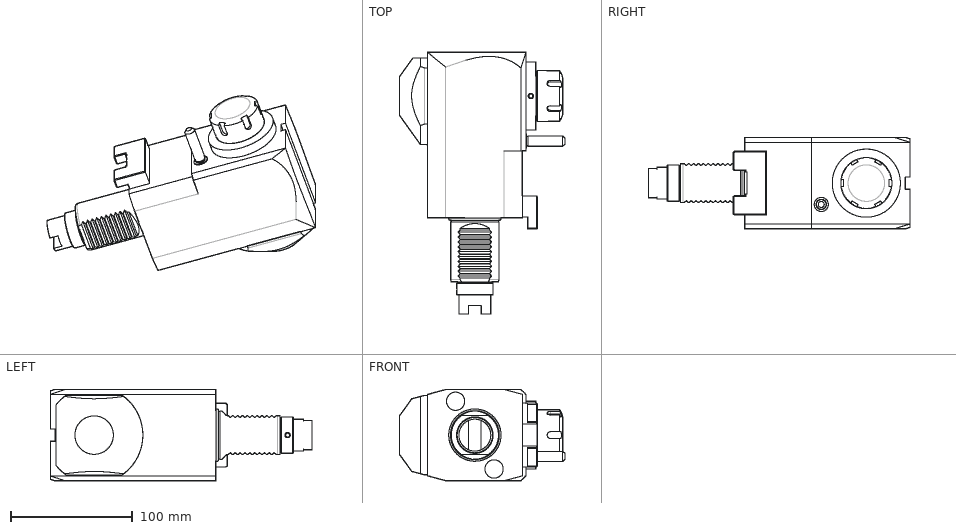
import cadquery as cq
import math


housing_length = 136.0
housing_height = 75.0
half_height = housing_height / 2
housing_left = -39.0
housing_right = 42.0
relief_right = 39.0
relief_length = 55.0
side_bevel_width = 15.0
side_bevel_angle = 15.0
side_bevel_drop = side_bevel_width * math.tan(math.radians(side_bevel_angle))
bevel_edge_z = half_height - side_bevel_drop
spindle_bevel_width = 4.2
back_slot_width = 10.0
back_slot_depth = 4.0

back_bevel_left_length = 12.2
back_bevel_right_length = 13.0
back_bevel_inner_points = [(0.0, 4.7), (12.7, 3.4), (29.5, 7.3)]
back_bevel_slope = side_bevel_drop / back_bevel_left_length

plug_radius = 7.5
plug_offset_x = 15.8
plug_offset_z = 27.8
plug_recess = 0.3

spindle_y = 100.0

cap_tip_x = -62.0
cap_tip_radius = 15.8
cap_radius = 40.0
cap_rim_x = -44.7
cap_back_y = spindle_y + 31.3
cap_bevel_x = -41.3
cap_half_height = 32.7

flange_radius = 28.0
flange_end_x = 50.0
spindle_neck_radius = 16.3
nut_start_x = 51.0
nut_end_x = 72.2
nut_radius = 21.0
nut_face_radius = 15.0
nut_round_start_x = 69.5
nut_round_mid_x = 71.0
nut_round_mid_radius = 18.6
nut_back_chamfer = 0.6
nut_slot_count = 6
nut_slot_width = 5.6
nut_slot_start_x = 59.4
nut_slot_floor_radius = 18.6

screw_hole_radius = 1.6
screw_mouth_radius = 2.6
screw_mouth_depth = 1.0
screw_hole_depth = 4.0
screw_mouth_extra = 0.6

pin_y = 63.0
pin_z = -17.5
pin_radius = 4.25
pin_end_x = 74.14
pin_tip_length = 2.1
pin_tip_inset = 1.8
pin_collar_radius = 5.8
pin_collar_length = 0.6
pin_neck_radius = 3.9
pin_neck_end_x = 43.8

key_right = 51.3
key_back_y = 18.0
key_plate_front_y = 0.6
key_bar_front_y = 1.9
key_half_height = 26.2
key_leg_x = 43.4
key_leg_front_y = -9.3
key_leg_inner_z = 10.2
key_bar_half_height = 9.0
key_leg_chamfer = 0.9
key_chamfer = 0.7

shank_radius = 20.0
shank_ring_radius = 21.5
shank_ring_length = 2.0
shank_ring_round = 1.0
shank_groove_radius = 19.5
shank_groove_end = 3.5
shank_length = 52.6
shank_end_chamfer_length = 1.9
shank_end_chamfer = 0.6
coupling_gap_length = 0.8
coupling_gap_radius = 14.0
coupling_radius = 15.0
coupling_end = 63.5
coupling_chamfer = 0.5
drive_radius = 13.1
drive_end = 79.0
drive_slot_width = 10.4
drive_slot_depth = 7.0
coupling_screw_y = -58.8

tooth_crest_z = 16.0
tooth_depth = 1.5
tooth_half_width = 1.7
tooth_pitch = 4.0
tooth_count = 10
first_valley_y = -11.8
ramp_start_y = -4.7


def x_cylinder(x_start, x_end, radius, y, z):
    """Cylinder along X."""
    plane = cq.Workplane("YZ", origin=(x_start, y, z))
    return plane.circle(radius).extrude(x_end - x_start)


def box_between(x_min, x_max, y_min, y_max, z_min, z_max):
    """Box given by its limits."""
    size = (x_max - x_min, y_max - y_min, z_max - z_min)
    return cq.Workplane("XY").box(*size, centered=False).translate((x_min, y_min, z_min))


def set_screw_hole(surface_point, inward):
    """Drilled hole with a conical mouth, starting just outside a round surface."""
    start = cq.Vector(*surface_point) - cq.Vector(*inward) * screw_mouth_extra
    depth = screw_mouth_extra + screw_hole_depth
    cone_length = screw_mouth_extra + screw_mouth_depth
    drill = cq.Solid.makeCylinder(screw_hole_radius, depth, start, cq.Vector(*inward))
    mouth = cq.Solid.makeCone(screw_mouth_radius, screw_hole_radius, cone_length, start, cq.Vector(*inward))
    return cq.Workplane(drill).union(cq.Workplane(mouth))


def housing_section(right, right_bevel_width):
    """XZ outline of the housing with bevelled long edges."""
    upper = [
        (housing_left, bevel_edge_z),
        (housing_left + side_bevel_width, half_height),
        (right - right_bevel_width, half_height),
        (right, bevel_edge_z),
    ]
    lower = [(x, -z) for x, z in reversed(upper)]
    return upper + lower


def back_bevel_cutter():
    """Solid that removes the curved bevel between the top and the back face."""
    back = housing_length
    top_left = cq.Vector(housing_left + side_bevel_width, back - back_bevel_left_length, half_height)
    top_right = cq.Vector(
        housing_right - spindle_bevel_width, back - back_bevel_right_length, half_height
    )
    back_left = cq.Vector(housing_left, back, bevel_edge_z)
    back_right = cq.Vector(housing_right, back, bevel_edge_z)
    corner_left = cq.Vector(housing_left, back, half_height)
    corner_right = cq.Vector(housing_right, back, half_height)

    top_inner = [cq.Vector(x, back - length, half_height) for x, length in back_bevel_inner_points]
    back_inner = [
        cq.Vector(x, back, half_height - back_bevel_slope * length)
        for x, length in back_bevel_inner_points
    ]

    line = cq.Edge.makeLine
    top_curve = cq.Edge.makeSpline([top_left, *top_inner, top_right])
    back_curve = cq.Edge.makeSpline([back_left, *back_inner, back_right])
    corner_line = line(corner_left, corner_right)

    def flat_face(*edges):
        return cq.Face.makeFromWires(cq.Wire.assembleEdges(edges))

    faces = [
        cq.Face.makeRuledSurface(top_curve, back_curve),
        flat_face(top_curve, line(top_right, corner_right), corner_line, line(corner_left, top_left)),
        flat_face(back_curve, line(back_right, corner_right), corner_line, line(corner_left, back_left)),
        cq.Face.makeFromWires(cq.Wire.makePolygon([top_left, back_left, corner_left], close=True)),
        cq.Face.makeFromWires(cq.Wire.makePolygon([top_right, back_right, corner_right], close=True)),
    ]
    return cq.Workplane(cq.Solid.makeSolid(cq.Shell.makeShell(faces)))


def make_housing():
    front_part = (
        cq.Workplane("XZ")
        .polyline(housing_section(relief_right, side_bevel_width))
        .close()
        .extrude(-relief_length)
    )
    rear_part = (
        cq.Workplane("XZ", origin=(0, relief_length, 0))
        .polyline(housing_section(housing_right, spindle_bevel_width))
        .close()
        .extrude(relief_length - housing_length)
    )
    body = front_part.union(rear_part)

    top_bevel = back_bevel_cutter()
    body = body.cut(top_bevel).cut(top_bevel.mirror("XY"))

    back_slot = box_between(
        housing_left, housing_right,
        housing_length - back_slot_depth, housing_length,
        -back_slot_width / 2, back_slot_width / 2,
    )
    body = body.cut(back_slot)

    plug_recesses = (
        cq.Workplane("XZ")
        .pushPoints([(-plug_offset_x, plug_offset_z), (plug_offset_x, -plug_offset_z)])
        .circle(plug_radius)
        .extrude(-plug_recess)
    )
    return body.cut(plug_recesses)


def make_cap():
    """Conical cap, cut flat at the back and trimmed by sloping top and bottom flats."""
    cone = (
        cq.Workplane("XY", origin=(0, spindle_y, 0))
        .polyline([
            (cap_tip_x, 0),
            (cap_tip_x, cap_tip_radius),
            (cap_rim_x, cap_radius),
            (housing_left, cap_radius),
            (housing_left, 0),
        ])
        .close()
        .revolve(360, (0, 0, 0), (1, 0, 0))
    )
    slope_drop = (cap_bevel_x - cap_tip_x) * math.tan(math.radians(side_bevel_angle))
    tip_half_height = cap_half_height - slope_drop
    upper = [
        (cap_tip_x, tip_half_height),
        (cap_bevel_x, cap_half_height),
        (housing_left, cap_half_height),
    ]
    lower = [(x, -z) for x, z in reversed(upper)]
    envelope = (
        cq.Workplane("XZ", origin=(0, cap_back_y, 0))
        .polyline(upper + lower)
        .close()
        .extrude(cap_back_y - spindle_y + cap_radius)
    )
    return cone.intersect(envelope)


def make_nut():
    body = (
        cq.Workplane("XY", origin=(0, spindle_y, 0))
        .moveTo(nut_start_x, 0)
        .lineTo(nut_start_x, nut_radius - nut_back_chamfer)
        .lineTo(nut_start_x + nut_back_chamfer, nut_radius)
        .lineTo(nut_round_start_x, nut_radius)
        .threePointArc((nut_round_mid_x, nut_round_mid_radius), (nut_end_x, nut_face_radius))
        .lineTo(nut_end_x, 0)
        .close()
        .revolve(360, (0, 0, 0), (1, 0, 0))
    )
    half_width = nut_slot_width / 2
    slot_center_x = nut_slot_start_x + half_width
    slot = (
        cq.Workplane("XZ", origin=(0, spindle_y - nut_slot_floor_radius, 0))
        .moveTo(nut_end_x, half_width)
        .lineTo(slot_center_x, half_width)
        .threePointArc((nut_slot_start_x, 0), (slot_center_x, -half_width))
        .lineTo(nut_end_x, -half_width)
        .close()
        .extrude(nut_radius)
    )
    axis_start = (0, spindle_y, 0)
    axis_end = (1, spindle_y, 0)
    for index in range(nut_slot_count):
        body = body.cut(slot.rotate(axis_start, axis_end, index * 360 / nut_slot_count))
    return body


def make_spindle():
    flange = x_cylinder(housing_right, flange_end_x, flange_radius, spindle_y, 0)
    flange_mid_x = (housing_right + flange_end_x) / 2
    flange = flange.cut(set_screw_hole((flange_mid_x, spindle_y, flange_radius), (0, 0, -1)))
    neck = x_cylinder(flange_end_x, nut_start_x, spindle_neck_radius, spindle_y, 0)
    return flange.union(neck).union(make_nut())


def make_pin():
    """Pin with a tapered tip, on a short neck and a thin collar."""
    pin = x_cylinder(pin_neck_end_x, pin_end_x, pin_radius, pin_y, pin_z)
    pin = pin.faces(">X").chamfer(pin_tip_length, pin_tip_inset)
    neck = x_cylinder(housing_right, pin_neck_end_x, pin_neck_radius, pin_y, pin_z)
    collar_end = housing_right + pin_collar_length
    collar = x_cylinder(housing_right, collar_end, pin_collar_radius, pin_y, pin_z)
    return pin.union(neck).union(collar)


def make_key():
    """Bar across the right side with two legs reaching past the front face."""
    key = box_between(
        relief_right, key_right, key_leg_front_y, key_back_y, -key_half_height, key_half_height
    )
    under_bar = box_between(
        relief_right, key_leg_x, key_leg_front_y, key_plate_front_y, -key_half_height, key_half_height
    )
    leg_gap = box_between(
        relief_right, key_right,
        key_leg_front_y, key_plate_front_y,
        -key_leg_inner_z, key_leg_inner_z,
    )
    bar_recess = box_between(
        relief_right, key_right,
        key_leg_front_y, key_bar_front_y,
        -key_bar_half_height, key_bar_half_height,
    )
    key = key.cut(under_bar).cut(leg_gap)
    key = key.faces("<Y").edges("|X").chamfer(key_leg_chamfer)
    key = key.faces(">X").edges().chamfer(key_chamfer)
    return key.cut(bar_recess)


def make_shank_blank():
    """Turned shank, coupling ring and drive end."""
    neck_end = shank_length + coupling_gap_length
    profile = [
        (0, 0),
        (shank_groove_radius, 0),
        (shank_groove_radius, -shank_groove_end),
        (shank_radius, -shank_groove_end),
        (shank_radius, shank_end_chamfer_length - shank_length),
        (shank_radius - shank_end_chamfer, -shank_length),
        (coupling_gap_radius, -shank_length),
        (coupling_gap_radius, -neck_end),
        (coupling_radius - coupling_chamfer, -neck_end),
        (coupling_radius, -neck_end - coupling_chamfer),
        (coupling_radius, coupling_chamfer - coupling_end),
        (coupling_radius - coupling_chamfer, -coupling_end),
        (drive_radius, -coupling_end),
        (drive_radius, -drive_end),
        (0, -drive_end),
    ]
    turned = cq.Workplane("XY").polyline(profile).close().revolve(360, (0, 0, 0), (0, 1, 0))
    ring = cq.Workplane("XZ").circle(shank_ring_radius).extrude(shank_ring_length)
    ring = ring.faces("<Y").edges().fillet(shank_ring_round)
    return turned.union(ring)


def tooth_cutter():
    """Flat with a 45 degree run-out and V valleys, above the shank."""
    ramp_length = shank_radius - tooth_crest_z
    outline = [(ramp_start_y, shank_radius), (ramp_start_y - ramp_length, tooth_crest_z)]
    for index in range(tooth_count):
        valley_y = first_valley_y - index * tooth_pitch
        outline.append((valley_y + tooth_half_width, tooth_crest_z))
        outline.append((valley_y, tooth_crest_z - tooth_depth))
        outline.append((valley_y - tooth_half_width, tooth_crest_z))
    outline.append((-shank_length, tooth_crest_z))
    outline.append((-shank_length, shank_radius))
    return cq.Workplane("YZ").polyline(outline).close().extrude(shank_radius, both=True)


def make_shank():
    shank = make_shank_blank()
    teeth = tooth_cutter()
    shank = shank.cut(teeth).cut(teeth.mirror("XY"))
    drive_slot = box_between(
        -drive_slot_width / 2, drive_slot_width / 2,
        -drive_end, drive_slot_depth - drive_end,
        -drive_radius, drive_radius,
    )
    shank = shank.cut(drive_slot)
    return shank.cut(set_screw_hole((-coupling_radius, coupling_screw_y, 0), (1, 0, 0)))


result = make_housing()
for component in (make_cap(), make_spindle(), make_pin(), make_key(), make_shank()):
    result = result.union(component)